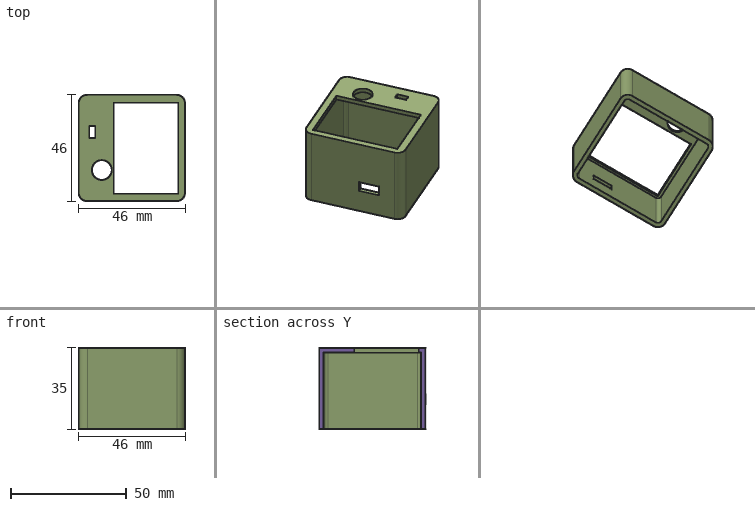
import cadquery as cq

side = 46.0
height = 35.0
corner_radius = 3.7
wall = 2.0

window_x_size = 27.75
window_y_size = 39.2
window_x = 6.15
window_y = -0.1

switch_x_size = 2.5
switch_y_size = 5.05
switch_x = -17.1
switch_y = 6.9

button_diameter = 8.45
button_x = -12.95
button_y = -9.5

port_y_size = 9.3
port_z_size = 4.5
port_y = 7.5
port_z = -4.65

top_z = height / 2
plate_z = top_z - wall / 2


def rounded_block(size, radius, block_height):
    """Square block with rounded vertical edges, centred on the origin."""
    return cq.Workplane("XY").box(size, size, block_height).edges("|Z").fillet(radius)


def shell():
    """Box with even walls and a top plate, hollow from below."""
    outside = rounded_block(side, corner_radius, height)
    cavity = rounded_block(side - 2 * wall, corner_radius - wall, height)
    return outside.cut(cavity.translate((0, 0, -wall)))


def plate_opening(x_size, y_size, x, y):
    """Rectangular cutter passing through the top plate only."""
    return cq.Workplane("XY").box(x_size, y_size, wall).translate((x, y, plate_z))


def button_hole():
    """Round cutter passing through the top plate only."""
    hole = cq.Workplane("XY").circle(button_diameter / 2).extrude(wall)
    return hole.translate((button_x, button_y, top_z - wall))


def cable_port():
    """Rectangular cutter passing through the +X wall only."""
    port_x = (side - wall) / 2
    return cq.Workplane("XY").box(wall, port_y_size, port_z_size).translate((port_x, port_y, port_z))


result = (
    shell()
    .cut(plate_opening(window_x_size, window_y_size, window_x, window_y))
    .cut(plate_opening(switch_x_size, switch_y_size, switch_x, switch_y))
    .cut(button_hole())
    .cut(cable_port())
)